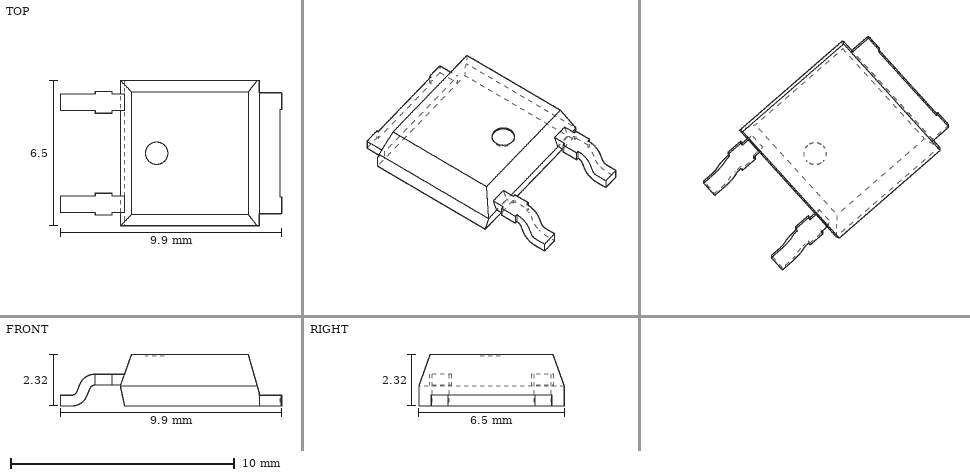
import cadquery as cq
import math

total_length = 9.9
total_height = 2.32
metal_thickness = 0.495

package_width = 6.5
bottom_left_x = 2.87
widest_left_x = 2.68
top_left_x = 3.18
top_right_x = 8.41
right_face_x = 8.9
left_band_bottom_z = 0.87
side_slope_z = 0.91
right_slope_z = 0.58
side_inset = 0.5

mark_diameter = 1.0
mark_depth = 0.08
mark_x = 4.31

tab_width = 5.43
tab_recess_width = 3.9
tab_recess_depth = 0.07
tab_corner_chamfer = 0.03

lead_pitch = 4.55
lead_width = 0.75
shoulder_width = 0.98
shoulder_start_x = 1.55
shoulder_end_x = 2.32
lead_top_z = 1.44
bend_inner_radius = 0.25
bend_angle = math.radians(68.0)


def make_package():
    """Moulded package with sloped walls, a narrow upright band on its -X wall and a shallow round mark on top."""
    profile = [
        (bottom_left_x, 0),
        (widest_left_x, left_band_bottom_z),
        (widest_left_x, side_slope_z),
        (top_left_x, total_height),
        (top_right_x, total_height),
        (right_face_x, right_slope_z),
        (right_face_x, 0),
    ]
    long_section = cq.Workplane("XZ").polyline(profile).close().extrude(package_width / 2, both=True)

    half_width = package_width / 2
    half_top = half_width - side_inset
    cross_section = (
        cq.Workplane("YZ")
        .polyline([
            (-half_width, 0),
            (half_width, 0),
            (half_width, side_slope_z),
            (half_top, total_height),
            (-half_top, total_height),
            (-half_width, side_slope_z),
        ])
        .close()
        .extrude(total_length)
    )
    mark = (
        cq.Workplane("XY", origin=(mark_x, 0, total_height - mark_depth))
        .circle(mark_diameter / 2)
        .extrude(mark_depth)
    )
    return long_section.intersect(cross_section).cut(mark)


def make_tab():
    """Flat tab against the +X face, with a shallow recess in its free end."""
    tab_length = total_length - right_face_x
    plate = (
        cq.Workplane("XY")
        .box(tab_length, tab_width, metal_thickness, centered=(False, True, False))
        .translate((right_face_x, 0, 0))
        .edges("|Z and >X")
        .chamfer(tab_corner_chamfer)
    )
    recess = (
        cq.Workplane("XY")
        .box(tab_recess_depth, tab_recess_width, metal_thickness, centered=(False, True, False))
        .translate((total_length - tab_recess_depth, 0, 0))
    )
    return plate.cut(recess)


def make_lead(center_y, package):
    """Lead bent in an S from its foot up to its shoulder, ending on the package wall."""
    inner = bend_inner_radius
    outer = inner + metal_thickness
    lead_bottom_z = lead_top_z - metal_thickness

    straight_rise = lead_bottom_z - (inner + outer) * (1 - math.cos(bend_angle))
    bend_run = (inner + outer) * math.sin(bend_angle) + straight_rise / math.tan(bend_angle)
    foot_bend = (shoulder_start_x - bend_run, outer)
    upper_bend = (shoulder_start_x, lead_top_z - outer)

    def foot_point(radius, angle):
        return (foot_bend[0] + radius * math.sin(angle), foot_bend[1] - radius * math.cos(angle))

    def upper_point(radius, angle):
        return (upper_bend[0] - radius * math.sin(angle), upper_bend[1] + radius * math.cos(angle))

    half_angle = bend_angle / 2
    strip = (
        cq.Workplane("XZ", origin=(0, center_y, 0))
        .moveTo(0, 0)
        .lineTo(*foot_point(outer, 0))
        .threePointArc(foot_point(outer, half_angle), foot_point(outer, bend_angle))
        .lineTo(*upper_point(inner, bend_angle))
        .threePointArc(upper_point(inner, half_angle), upper_point(inner, 0))
        .lineTo(top_left_x, lead_bottom_z)
        .lineTo(top_left_x, lead_top_z)
        .lineTo(*upper_point(outer, 0))
        .threePointArc(upper_point(outer, half_angle), upper_point(outer, bend_angle))
        .lineTo(*foot_point(inner, bend_angle))
        .threePointArc(foot_point(inner, half_angle), foot_point(inner, 0))
        .lineTo(0, metal_thickness)
        .close()
        .extrude(lead_width / 2, both=True)
    )
    shoulder = (
        cq.Workplane("XY")
        .box(
            shoulder_end_x - shoulder_start_x,
            shoulder_width,
            metal_thickness,
            centered=(False, True, False),
        )
        .translate((shoulder_start_x, center_y, lead_bottom_z))
    )
    return strip.union(shoulder).cut(package)


package = make_package()
tab = make_tab()
leads = [make_lead(side * lead_pitch / 2, package) for side in (-1, 1)]

solids = [body.solids().val() for body in (package, tab, *leads)]
result = cq.Compound.makeCompound(solids)